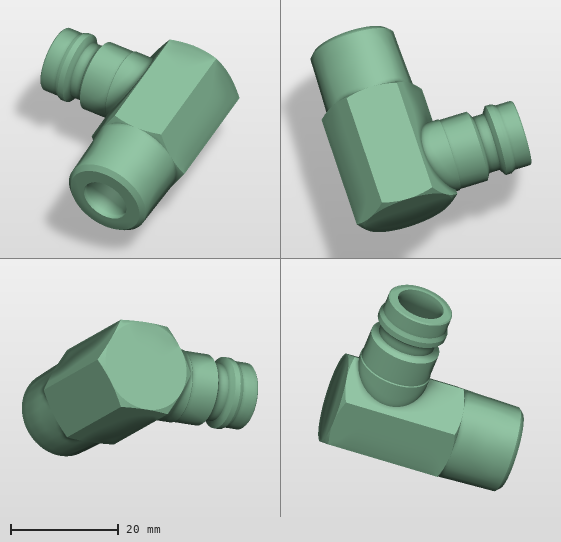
import cadquery as cq
import math

across_flats = 17.0
corner_radius = across_flats / math.sqrt(3)
back_y = across_flats / 2
body_length = 23.0
shoulder_y = back_y - body_length
corner_chamfer_angle = 30

total_length = 35
front_y = back_y - total_length
gauge_diameter = 16.65
gauge_length = 6.4
taper = 1 / 16
tip_chamfer = 0.88

overall_width = 34.7
arm_end_x = corner_radius - overall_width
nose_radius = 6.25
nose_chamfer = 0.25
nose_length = 3.2
collar_radius = 6.72
collar_start = 4.02
collar_end = 5.1
groove_radius = 5.45
groove_start = 5.95
groove_end = 7.98
barrel_start = 8.75
barrel_end = 14.07
root_start = 14.25
root_radius = 6.9

bore_diameter = 9.0


def revolve_about_y(points):
    """Solid of revolution from (radius, y) points."""
    return cq.Workplane("XY").polyline(points).close().revolve(360, (0, 0), (0, 1))


def hex_body():
    """Hexagonal bar with corners on +X and -X, chamfered at both ends."""
    bar = (
        cq.Workplane("XZ", origin=(0, back_y, 0))
        .polygon(6, 2 * corner_radius)
        .extrude(body_length)
    )
    end_radius = across_flats / 2
    clear_radius = corner_radius + 0.35
    drop = (clear_radius - end_radius) * math.tan(math.radians(corner_chamfer_angle))
    envelope = revolve_about_y([
        (0, back_y),
        (end_radius, back_y),
        (clear_radius, back_y - drop),
        (clear_radius, shoulder_y + drop),
        (end_radius, shoulder_y),
        (0, shoulder_y),
    ])
    return bar.intersect(envelope)


def tapered_end():
    """Cone sized at the gauge plane, with a chamfered tip."""
    gauge_y = front_y + gauge_length

    def radius_at(y):
        return (gauge_diameter + taper * (y - gauge_y)) / 2

    chamfer_y = front_y + tip_chamfer
    return revolve_about_y([
        (0, front_y),
        (radius_at(chamfer_y) - tip_chamfer, front_y),
        (radius_at(chamfer_y), chamfer_y),
        (radius_at(shoulder_y), shoulder_y),
        (0, shoulder_y),
    ])


def plug_arm():
    """Stepped plug; each station is (distance from the free end, radius)."""
    stations = [
        (0, 0),
        (0, nose_radius - nose_chamfer),
        (nose_chamfer, nose_radius),
        (nose_length, nose_radius),
        (collar_start, collar_radius),
        (collar_end, collar_radius),
        (groove_start, groove_radius),
        (groove_end, groove_radius),
        (barrel_start, collar_radius),
        (barrel_end, collar_radius),
        (root_start, root_radius),
        (-arm_end_x, root_radius),
        (-arm_end_x, 0),
    ]
    outline = [(arm_end_x + distance, radius) for distance, radius in stations]
    return cq.Workplane("XY").polyline(outline).close().revolve(360, (0, 0), (1, 0))


def arm_bore():
    """Bore along X from the free end of the arm to the body axis."""
    return cq.Workplane("YZ", origin=(arm_end_x, 0, 0)).circle(bore_diameter / 2).extrude(-arm_end_x)


def main_bore():
    """Bore along Y from the tapered tip, ending flat where it just clears the arm bore."""
    depth = bore_diameter / 2 - front_y
    return cq.Workplane("XZ", origin=(0, front_y + depth, 0)).circle(bore_diameter / 2).extrude(depth)


solid_elbow = hex_body().union(tapered_end()).union(plug_arm())
result = solid_elbow.cut(main_bore()).cut(arm_bore())